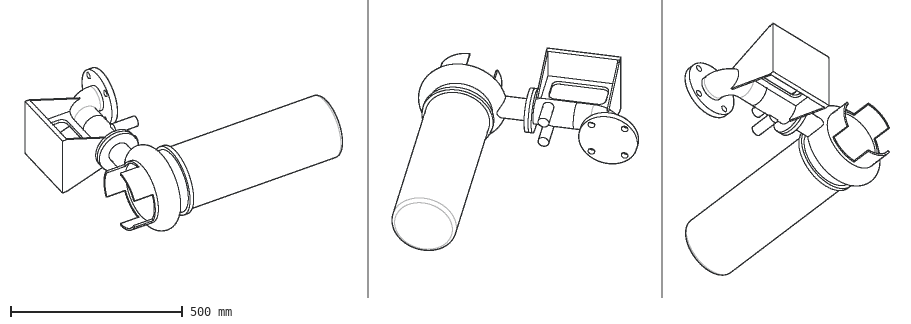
import cadquery as cq
import math


motor_dia = 191.5
motor_end_y = 589.0
motor_end_fillet = 10.0
collar_dia = 211.5
collar_front_y = 66.0
collar_thickness = 12.0
volute_outer_dia = 261.0
volute_ring_radius = motor_dia / 2
volute_tube_radius = volute_outer_dia / 2 - volute_ring_radius
skirt_inner_dia = 179.0
skirt_edge_y = -45.0
skirt_recess = 8.0
tab_end_y = -107.0
tab_count = 3
tab_angle = 60.0
first_tab_angle = 60.0
branch_dia = 65.0

joint_dia = 130.0
joint_x = -207.0
pump_flange_thickness = 12.0
pipe_flange_thickness = 9.0
pipe_dia = 77.0
pipe_start_x = -335.5
nozzle_dia = 32.0
nozzle_x = -258.0
nozzle_z = 36.0
nozzle_start_y = 18.0
inlet_face_y = 93.5

elbow_dia = pipe_dia
elbow_x = -450.0
bend_radius = 63.5
inlet_flange_dia = 175.0
inlet_flange_thickness = 19.0
bolt_hole_dia = 19.0
bolt_circle_dia = 139.5
bolt_count = 4
first_bolt_angle = 45

bracket_left_x = -434.0
bracket_right_x = joint_x - pipe_flange_thickness
bracket_front_y = -177.0
bracket_height = 191.5
base_thickness = 15.0
sheet_thickness = 5.0
web_thickness = 10.0
gusset_slope = 0.347
elbow_gusset_tip_y = 9.0
joint_gusset_tip_y = -10.0
window_length = 168.5
window_width = 83.0
window_x = -325.0
window_y = -100.0
window_fillet = 20.0


def rod_x(diameter, x_start, x_end):
    """Round bar on the pipe axis."""
    return cq.Workplane("YZ", origin=(x_start, 0, 0)).circle(diameter / 2).extrude(x_end - x_start)


def rod_y(diameter, y_start, y_end, x=0, z=0):
    """Round bar parallel to the motor axis."""
    plane = cq.Workplane("XZ", origin=(x, y_start, z))
    return plane.circle(diameter / 2).extrude(y_start - y_end)


def make_motor():
    start_y = collar_front_y + collar_thickness
    return rod_y(motor_dia, start_y, motor_end_y).faces(">Y").edges().fillet(motor_end_fillet)


def make_collar():
    return rod_y(collar_dia, collar_front_y, collar_front_y + collar_thickness)


def make_tab(center_angle):
    """Sector of the skirt wall that reaches forward as a foot."""
    wall = rod_y(motor_dia, tab_end_y, skirt_edge_y).cut(rod_y(skirt_inner_dia, tab_end_y, skirt_edge_y))
    corners = [(0, 0)]
    for side in (-1, 1):
        angle = math.radians(center_angle + side * tab_angle / 2)
        corners.append((motor_dia * math.cos(angle), motor_dia * math.sin(angle)))
    sector = cq.Workplane("XZ", origin=(0, tab_end_y, 0)).polyline(corners).close()
    return wall.intersect(sector.extrude(tab_end_y - skirt_edge_y))


def make_pump():
    pump = rod_y(motor_dia, skirt_edge_y, collar_front_y)
    pump = pump.cut(rod_y(skirt_inner_dia, skirt_edge_y, skirt_edge_y + skirt_recess))
    volute = (
        cq.Workplane("XY")
        .moveTo(-volute_ring_radius, -volute_tube_radius)
        .threePointArc((-volute_outer_dia / 2, 0), (-volute_ring_radius, volute_tube_radius))
        .lineTo(0, volute_tube_radius)
        .lineTo(0, -volute_tube_radius)
        .close()
        .revolve(360, (0, 0), (0, 1))
    )
    pump = pump.union(volute)
    pump = pump.union(rod_x(branch_dia, joint_x, 0))
    pump = pump.union(rod_x(joint_dia, joint_x, joint_x + pump_flange_thickness))
    for i in range(tab_count):
        pump = pump.union(make_tab(first_tab_angle + i * 360 / tab_count))
    return pump


def make_pipe():
    """Straight pipe with its joint flange and two side nozzles."""
    pipe = rod_x(pipe_dia, pipe_start_x, joint_x)
    pipe = pipe.union(rod_x(joint_dia, joint_x - pipe_flange_thickness, joint_x))
    for z in (-nozzle_z, nozzle_z):
        pipe = pipe.union(rod_y(nozzle_dia, nozzle_start_y, inlet_face_y, nozzle_x, z))
    return pipe


def make_elbow():
    """Quarter bend between the straight pipe and the inlet flange."""
    bend_end_x = elbow_x + bend_radius
    flange_front_y = inlet_face_y - inlet_flange_thickness
    bend = (
        cq.Workplane("YZ", origin=(bend_end_x, 0, 0))
        .circle(elbow_dia / 2)
        .revolve(90, (bend_radius, 0), (bend_radius, -1))
    )
    flange = rod_y(inlet_flange_dia, flange_front_y, inlet_face_y, elbow_x)
    bolt_holes = (
        cq.Workplane("XZ", origin=(elbow_x, flange_front_y, 0))
        .polarArray(bolt_circle_dia / 2, first_bolt_angle, 360, bolt_count)
        .circle(bolt_hole_dia / 2)
        .extrude(-inlet_flange_thickness)
    )
    return (
        bend.union(rod_x(elbow_dia, bend_end_x, pipe_start_x))
        .union(rod_y(elbow_dia, bend_radius, flange_front_y, elbow_x))
        .union(flange.cut(bolt_holes))
    )


def make_gusset(x_start, tip_y):
    """Side sheet that tapers from the base plate to the pipe run."""
    base_back_y = bracket_front_y + base_thickness
    tip_half_height = bracket_height / 2 - gusset_slope * (tip_y - base_back_y)
    return (
        cq.Workplane("YZ", origin=(x_start, 0, 0))
        .moveTo(base_back_y, -bracket_height / 2)
        .lineTo(tip_y, -tip_half_height)
        .lineTo(tip_y, tip_half_height)
        .lineTo(base_back_y, bracket_height / 2)
        .close()
        .extrude(sheet_thickness)
    )


def make_bracket(pipe, elbow):
    """Base plate, two gussets and a windowed web, coped to the pipe run."""
    length = bracket_right_x - bracket_left_x
    center_x = (bracket_left_x + bracket_right_x) / 2
    base = cq.Workplane("XY").box(length, base_thickness, bracket_height)
    base = base.translate((center_x, bracket_front_y + base_thickness / 2, 0))
    web = cq.Workplane("XY").box(length, -bracket_front_y, web_thickness)
    web = web.translate((center_x, bracket_front_y / 2, 0))
    window = (
        cq.Workplane("XY")
        .box(window_length, window_width, bracket_height)
        .edges("|Z")
        .fillet(window_fillet)
        .translate((window_x, window_y, 0))
    )
    bracket = base.union(web.cut(window))
    bracket = bracket.union(make_gusset(bracket_left_x, elbow_gusset_tip_y))
    bracket = bracket.union(make_gusset(bracket_right_x - sheet_thickness, joint_gusset_tip_y))
    return bracket.cut(pipe).cut(elbow)


motor = make_motor()
collar = make_collar()
pump = make_pump()
pipe = make_pipe()
elbow = make_elbow()
bracket = make_bracket(pipe, elbow)

result = cq.Compound.makeCompound(
    [motor.val(), collar.val(), pump.val(), pipe.val(), elbow.val(), bracket.val()]
)